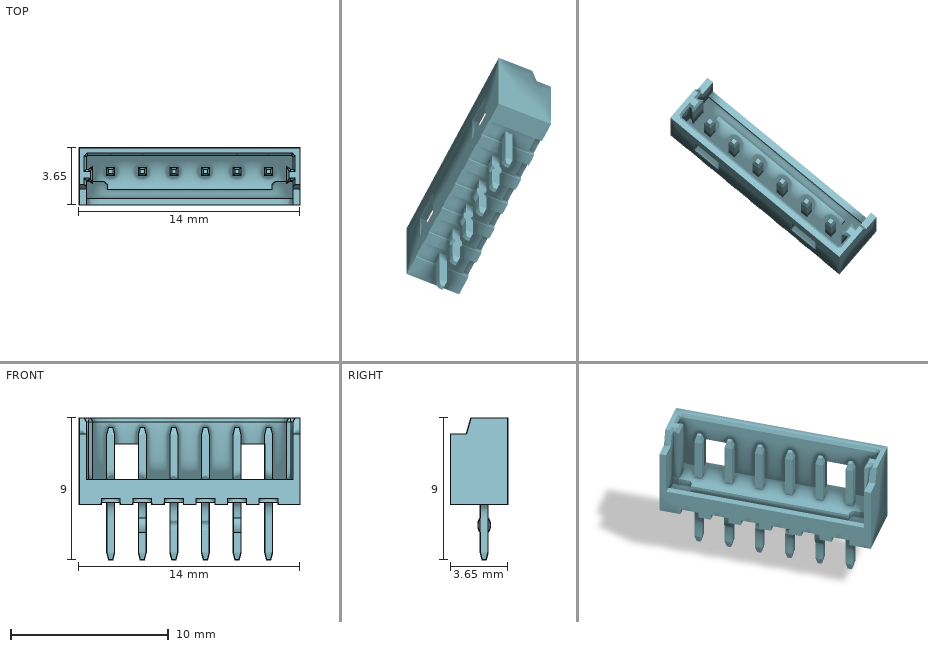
import cadquery as cq
import math


LENGTH = 14
DEPTH = 3.65
HEIGHT = 5.5
BACK_Y = 1.51
FRONT_Y = BACK_Y - DEPTH
SIDE_WALL = 0.45
BACK_WALL = 0.5
FRONT_WALL = 0.42
FRONT_WALL_TOP = 1.6
CORNER_CUT = 0.1

BEVEL_HEIGHT = 0.25
BEVEL_WIDTH = 0.14

SHOULDER_HEIGHT = 4.48
SHOULDER_TOP_Y = BACK_Y - 2.35
SHOULDER_FOOT_Y = BACK_Y - 2.65

RIB_Y = BACK_Y - 1.74
RIB_NECK_HALF = 0.35
RIB_TIP_HALF = 0.53
RIB_NECK_REACH = 0.59
RIB_TIP_REACH = 0.85

PLATFORM_HEIGHT = FRONT_WALL_TOP
TROUGH_HEIGHT = 1.15
PLATFORM_SIDE_Y = BACK_Y - 2.15
PLATFORM_FRONT_Y = BACK_Y - 2.66
PLATFORM_HALF_LENGTH = 5.22
PLATFORM_CUT = 0.2

PIN_COUNT = 6
PITCH = 2.0
PIN_WIDTH = 0.5
PIN_TOP = 4.9
PIN_BOTTOM = -3.5
TIP_WIDTH = 0.27
TIP_LENGTH = 0.46

BEND_Z = -1.3
BEND_RISE = 0.15
BEND_HALF_CHORD = 0.46
BEND_EDGE_RADIUS = 0.13
FORWARD_BENT_PINS = (1, 4)
BACKWARD_BENT_PINS = (2, 3)

WINDOW_WIDTH = 2.0
WINDOW_TOP = 3.84

RELIEF_WIDTH = 1.19
CHANNEL_DEPTH = 0.13
RECESS_DEPTH = 0.38
RECESS_REACH = 0.42

pin_positions = [(i - (PIN_COUNT - 1) / 2) * PITCH for i in range(PIN_COUNT)]


def box(x_min, x_max, y_min, y_max, z_min, z_max):
    """Axis-aligned block between the given limits."""
    block = cq.Workplane("XY").box(x_max - x_min, y_max - y_min, z_max - z_min, centered=False)
    return block.translate((x_min, y_min, z_min))


def cavity_outline(z):
    """Plan outline of the cavity, running out past the open front."""
    wall_x = LENGTH / 2 - SIDE_WALL
    neck_x = LENGTH / 2 - RIB_NECK_REACH
    tip_x = LENGTH / 2 - RIB_TIP_REACH
    back_y = BACK_Y - BACK_WALL
    right_side = [
        (wall_x, FRONT_Y - FRONT_WALL),
        (wall_x, RIB_Y - RIB_NECK_HALF),
        (neck_x, RIB_Y - RIB_NECK_HALF),
        (tip_x, RIB_Y - RIB_TIP_HALF),
        (tip_x, RIB_Y + RIB_TIP_HALF),
        (neck_x, RIB_Y + RIB_NECK_HALF),
        (wall_x, RIB_Y + RIB_NECK_HALF),
        (wall_x, back_y - CORNER_CUT),
        (wall_x - CORNER_CUT, back_y),
    ]
    left_side = [(-x, y) for x, y in reversed(right_side)]
    return cq.Workplane("XY").workplane(offset=z).polyline(right_side + left_side).close()


def platform():
    """Stepped floor that carries the pins."""
    half_length = LENGTH / 2 - SIDE_WALL
    step_x = PLATFORM_HALF_LENGTH
    right_side = [
        (step_x, PLATFORM_FRONT_Y),
        (step_x, PLATFORM_SIDE_Y - PLATFORM_CUT),
        (step_x + PLATFORM_CUT, PLATFORM_SIDE_Y),
        (half_length, PLATFORM_SIDE_Y),
        (half_length, BACK_Y - BACK_WALL),
    ]
    left_side = [(-x, y) for x, y in reversed(right_side)]
    outline = cq.Workplane("XY").polyline(right_side + left_side).close()
    return outline.extrude(PLATFORM_HEIGHT)


def shroud():
    """Housing with its cavity, open front, windows and underside reliefs."""
    profile = [
        (BACK_Y, 0),
        (BACK_Y, HEIGHT),
        (SHOULDER_TOP_Y, HEIGHT),
        (SHOULDER_FOOT_Y, SHOULDER_HEIGHT),
        (FRONT_Y, SHOULDER_HEIGHT),
        (FRONT_Y, 0),
    ]
    body = cq.Workplane("YZ").polyline(profile).close().extrude(LENGTH / 2, both=True)

    bevel_z = HEIGHT - BEVEL_HEIGHT
    body = body.cut(cavity_outline(TROUGH_HEIGHT).extrude(bevel_z - TROUGH_HEIGHT))
    bevel_foot = cavity_outline(bevel_z).wire().val()
    bevel_rim = cavity_outline(HEIGHT).offset2D(BEVEL_WIDTH, "intersection").val()
    body = body.cut(cq.Workplane(cq.Solid.makeLoft([bevel_foot, bevel_rim], ruled=True)))

    opening_x = LENGTH / 2 - SIDE_WALL
    body = body.union(box(-opening_x, opening_x, FRONT_Y, FRONT_Y + FRONT_WALL, 0, FRONT_WALL_TOP))
    body = body.union(platform())

    window_x = (pin_positions[-1] + pin_positions[-2]) / 2
    for center in (-window_x, window_x):
        left = center - WINDOW_WIDTH / 2
        right = center + WINDOW_WIDTH / 2
        body = body.cut(box(left, right, BACK_Y - BACK_WALL, BACK_Y, PLATFORM_HEIGHT, WINDOW_TOP))

    for x in pin_positions:
        left = x - RELIEF_WIDTH / 2
        right = x + RELIEF_WIDTH / 2
        body = body.cut(box(left, right, FRONT_Y, BACK_Y, 0, CHANNEL_DEPTH))
        body = body.cut(box(left, right, FRONT_Y, FRONT_Y + RECESS_REACH, 0, RECESS_DEPTH))
    return body


def straight_pin():
    """Square pin with a tapered tip at both ends."""
    taper = math.degrees(math.atan2((PIN_WIDTH - TIP_WIDTH) / 2, TIP_LENGTH))
    half_width = PIN_WIDTH / 2
    shaft_top = PIN_TOP - TIP_LENGTH
    shaft_bottom = PIN_BOTTOM + TIP_LENGTH
    pin = box(-half_width, half_width, -half_width, half_width, shaft_bottom, shaft_top)
    for end in (">Z", "<Z"):
        tip_base = pin.faces(end).workplane(centerOption="CenterOfBoundBox")
        pin = tip_base.rect(PIN_WIDTH, PIN_WIDTH).extrude(TIP_LENGTH, taper=taper)
    return pin


def bent_pin():
    """Pin whose tail bulges toward -Y, with a concentric hollow on the +Y side."""
    outer_radius = (BEND_HALF_CHORD**2 + BEND_RISE**2) / (2 * BEND_RISE)
    inner_radius = outer_radius - PIN_WIDTH
    half_width = PIN_WIDTH / 2
    axis_y = outer_radius - BEND_RISE - half_width

    def bend_cylinder(radius):
        plane = cq.Workplane("YZ").center(axis_y, BEND_Z)
        return plane.circle(radius).extrude(half_width, both=True)

    bulge_zone = box(
        -half_width, half_width,
        -half_width - BEND_RISE, 0,
        BEND_Z - BEND_HALF_CHORD, BEND_Z + BEND_HALF_CHORD,
    )
    pin = straight_pin().union(bend_cylinder(outer_radius).intersect(bulge_zone))
    pin = pin.cut(bend_cylinder(inner_radius))
    hollow_edges = cq.selectors.BoxSelector(
        (-half_width, half_width - 0.01, BEND_Z - inner_radius),
        (half_width, half_width + 0.01, BEND_Z + inner_radius),
    )
    return pin.edges("|X").edges(hollow_edges).fillet(BEND_EDGE_RADIUS)


result = shroud()
for index, x in enumerate(pin_positions):
    if index in FORWARD_BENT_PINS:
        pin = bent_pin()
    elif index in BACKWARD_BENT_PINS:
        pin = bent_pin().rotate((0, 0, 0), (0, 0, 1), 180)
    else:
        pin = straight_pin()
    result = result.union(pin.translate((x, 0, 0)))